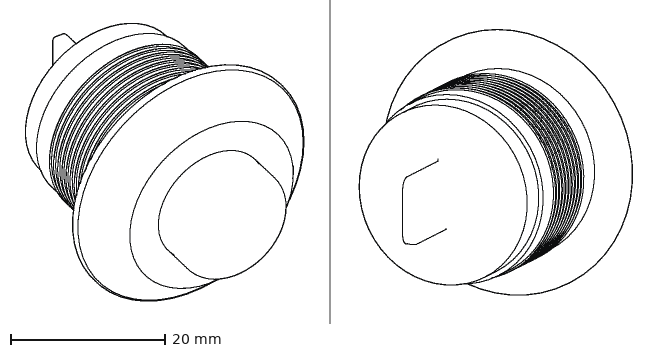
import cadquery as cq
import math

total_length = 43.85
rear_face_x = 11.25
barrel_start_x = 14.95
flange_start_x = 31.35
flange_thickness = 1.1
front_face_x = 37.53
flange_end_x = flange_start_x + flange_thickness

rear_radius = 11.92
barrel_radius = 12.55
flange_radius = 17.55
flange_rounding = 0.25
bell_front_radius = 12.55
bell_waist_x = 34.45
bell_waist_radius = 14.8
button_radius = 8.15
button_rounding = 1.6

blade_height = 8.9
blade_thickness = 1.45
blade_corner_radius = 1.45
blade_edge_rounding = 0.25

thread_pitch = 1.0
thread_turns = 10.25
thread_start_x = 17.65
thread_crest_radius = 12.75
thread_root_width = 0.5
thread_embed = 0.1


def make_turned_shell():
    """Rear disc, barrel, rounded flange and concave bell, revolved about X."""
    arc_inset = flange_rounding * (1 - math.sqrt(0.5))
    return (
        cq.Workplane("XY")
        .moveTo(rear_face_x, 0)
        .lineTo(rear_face_x, rear_radius)
        .lineTo(barrel_start_x, rear_radius)
        .lineTo(barrel_start_x, barrel_radius)
        .lineTo(flange_start_x, barrel_radius)
        .lineTo(flange_start_x, flange_radius - flange_rounding)
        .threePointArc(
            (flange_start_x + arc_inset, flange_radius - arc_inset),
            (flange_start_x + flange_rounding, flange_radius),
        )
        .lineTo(flange_end_x - flange_rounding, flange_radius)
        .threePointArc(
            (flange_end_x - arc_inset, flange_radius - arc_inset),
            (flange_end_x, flange_radius - flange_rounding),
        )
        .threePointArc((bell_waist_x, bell_waist_radius), (front_face_x, bell_front_radius))
        .lineTo(front_face_x, 0)
        .close()
        .revolve(360, (0, 0, 0), (1, 0, 0))
    )


def make_thread():
    """Right-handed triangular ridge wound on the barrel, starting at its lowest point."""
    root_radius = barrel_radius - thread_embed
    helix = cq.Wire.makeHelix(thread_pitch, thread_pitch * thread_turns, barrel_radius)
    ridge = (
        cq.Workplane("XZ")
        .polyline([
            (root_radius, -thread_root_width / 2),
            (thread_crest_radius, 0),
            (root_radius, thread_root_width / 2),
        ])
        .close()
        .sweep(cq.Workplane(obj=helix), isFrenet=True)
    )
    return ridge.rotate((0, 0, 0), (0, 1, 0), 90).translate((thread_start_x, 0, 0))


def make_blade():
    """Upright plate with rounded rear corners and its -Y outline eased."""
    plate = (
        cq.Workplane("XY")
        .box(rear_face_x, blade_thickness, blade_height, centered=(False, True, True))
        .edges("<X and |Y")
        .fillet(blade_corner_radius)
    )
    return plate.faces("<Y").edges("not(>X)").fillet(blade_edge_rounding)


def ease_blade_root(body):
    """Fillet the blade into the rear disc all round, except along its +Y face."""
    root_zone = cq.selectors.BoxSelector(
        (rear_face_x - blade_edge_rounding / 2, -blade_thickness, -blade_height),
        (rear_face_x + blade_edge_rounding / 2, blade_thickness / 4, blade_height),
    )
    half_core = blade_thickness / 8
    axis_zone = cq.selectors.BoxSelector(
        (0, -half_core, -half_core),
        (total_length, half_core, half_core),
    )
    return body.edges(root_zone - axis_zone).fillet(blade_edge_rounding)


def make_housing():
    """Shell with its blade and thread, fused into one solid."""
    shell_with_blade = make_turned_shell().union(make_blade())
    return ease_blade_root(shell_with_blade).union(make_thread()).solids()


def make_button():
    """Round push button standing on the front face, with a rounded outer rim."""
    return (
        cq.Workplane("YZ", origin=(front_face_x, 0, 0))
        .circle(button_radius)
        .extrude(total_length - front_face_x)
        .faces(">X")
        .edges()
        .fillet(button_rounding)
    )


housing = make_housing()
button = make_button()

result = cq.Compound.makeCompound([housing.val(), button.val()])